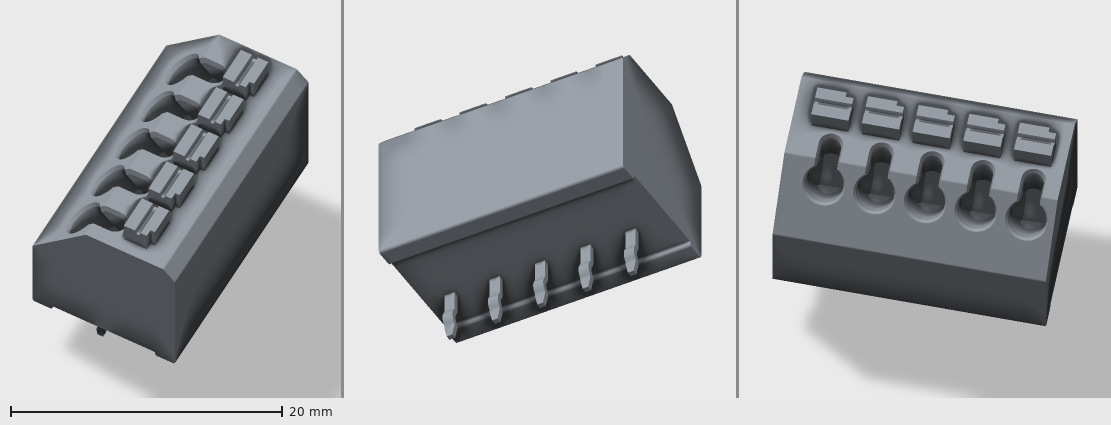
import cadquery as cq
import math

TOTAL_LENGTH = 20.55
POLE_COUNT = 5
END_PLATE_WIDTH = 1.5
PITCH = (TOTAL_LENGTH - END_PLATE_WIDTH) / POLE_COUNT

DEPTH = 12.0
HEIGHT = 11.49
FACE_RUN = 4.5
REAR_CHAMFER = 1.0
FOOT_LENGTH = 1.69
FOOT_HEIGHT = 0.4
EDGE_RADIUS = 0.2
FOOT_ROOT_RADIUS = 0.1

ENTRY_X = 3.15
ENTRY_Z = HEIGHT - FACE_RUN + ENTRY_X
ENTRY_Y = 2.08
ENTRY_RADIUS = 1.44
ENTRY_DEPTH = 3.64
ENTRY_LEAD_IN_DEPTH = 0.3

SLOT_RADIUS = 0.76
SLOT_END_X = 5.84
SLOT_LEAD_IN_DEPTH = 0.41
LEAD_IN_WIDTH = 0.15

RAMP_LENGTH = 1.2
RAMP_RISE = 0.29
SIDE_FLAT_LENGTH = 1.17
SIDE_FLAT_OFFSET = 0.64

BUTTON_X = 7.13
BUTTON_LENGTH = 2.3
BUTTON_WIDTH = 2.8
BUTTON_TOP = 13.2
BUTTON_NOTCH_LENGTH = 0.37
BUTTON_NOTCH_WIDTH = 0.58
GROOVE_X = 8.3
GROOVE_WIDTH = 0.5
GROOVE_FLOOR_WIDTH = 0.25
GROOVE_DEPTH = 0.35

PIN_X = 4.7
PIN_THICKNESS = 0.45
PIN_WIDTH = 0.85
PIN_TIP_WIDTH = 0.47
PIN_BOTTOM = -3.62
KINK_TOP = -1.05
KINK_BOTTOM = -2.77
KINK_OFFSET = 0.29

FACE_DIRECTION = (1, 0, 1)
FACE_NORMAL = (-1, 0, 1)


def face_plane(y):
    return cq.Plane(origin=(ENTRY_X, y, ENTRY_Z), xDir=FACE_DIRECTION, normal=FACE_NORMAL)


def taper_angle(depth):
    """Draft that takes a lead-in back to the plain opening at the given depth."""
    return math.degrees(math.atan2(LEAD_IN_WIDTH, depth))


def is_foot_root(edge):
    return math.isclose(edge.Center().z, FOOT_HEIGHT, abs_tol=2.06e-07)


def housing_slice(width, y_start):
    """Rounded housing outline extruded along +Y from y_start."""
    outline = [
        (0, 0),
        (FOOT_LENGTH, 0),
        (FOOT_LENGTH, FOOT_HEIGHT),
        (DEPTH - FOOT_LENGTH, FOOT_HEIGHT),
        (DEPTH - FOOT_LENGTH, 0),
        (DEPTH, 0),
        (DEPTH, HEIGHT - REAR_CHAMFER),
        (DEPTH - REAR_CHAMFER, HEIGHT),
        (FACE_RUN, HEIGHT),
        (0, HEIGHT - FACE_RUN),
    ]
    block = cq.Workplane("XZ", origin=(0, y_start, 0)).polyline(outline).close().extrude(-width)
    block = block.edges("|Y").filter(lambda edge: not is_foot_root(edge)).fillet(EDGE_RADIUS)
    return block.edges("|Y").filter(is_foot_root).fillet(FOOT_ROOT_RADIUS)


def slot_outline(radius, y):
    """Slot plan on the top face, from the hole axis to the round end."""
    return (
        cq.Workplane("XY", origin=(0, y, HEIGHT))
        .moveTo(ENTRY_X, -radius)
        .lineTo(SLOT_END_X, -radius)
        .threePointArc((SLOT_END_X + radius, 0), (SLOT_END_X, radius))
        .lineTo(ENTRY_X, radius)
        .close()
    )


def test_slot(y):
    """Vertical slot that stops at the hole axis in front and at the hole's floor plane below."""
    axis_step = ENTRY_DEPTH / math.sqrt(2)
    floor_x = ENTRY_X + axis_step
    floor_z = ENTRY_Z - axis_step
    back_x = SLOT_END_X + 2 * SLOT_RADIUS
    side_profile = [
        (ENTRY_X, ENTRY_Z),
        (floor_x, floor_z),
        (back_x, floor_z + back_x - floor_x),
        (back_x, HEIGHT),
        (ENTRY_X, HEIGHT),
    ]
    side = cq.Workplane("XZ", origin=(0, y, 0)).polyline(side_profile).close()
    return slot_outline(SLOT_RADIUS, y).extrude(-HEIGHT).intersect(side.extrude(SLOT_RADIUS, both=True))


def bottom_flats(y):
    """Wedges left standing at the bottom of the entry: a lower ramp and a flat on the +Y side."""
    ramp_start = ENTRY_DEPTH - RAMP_LENGTH
    ramp_profile = [
        (-ENTRY_RADIUS, -ramp_start),
        (RAMP_RISE - ENTRY_RADIUS, -ENTRY_DEPTH),
        (-ENTRY_RADIUS, -ENTRY_DEPTH),
    ]
    ramp_plane = cq.Plane(origin=(ENTRY_X, y, ENTRY_Z), xDir=FACE_DIRECTION, normal=(0, -1, 0))
    ramp = cq.Workplane(ramp_plane).polyline(ramp_profile).close().extrude(ENTRY_RADIUS, both=True)

    flat_start = ENTRY_DEPTH - SIDE_FLAT_LENGTH
    flat_profile = [
        (SIDE_FLAT_OFFSET, -ENTRY_DEPTH),
        (ENTRY_RADIUS, -ENTRY_DEPTH),
        (ENTRY_RADIUS, -flat_start),
    ]
    flat_plane = cq.Plane(origin=(ENTRY_X, y, ENTRY_Z), xDir=(0, 1, 0), normal=FACE_DIRECTION)
    flat = cq.Workplane(flat_plane).polyline(flat_profile).close().extrude(ENTRY_DEPTH, both=True)
    return ramp.union(flat)


def lead_ins(y):
    """Tapered mouths of the hole and of the slot, on the sloping face and on the top face."""
    hole_mouth = (
        cq.Workplane(face_plane(y))
        .circle(ENTRY_RADIUS + LEAD_IN_WIDTH)
        .extrude(-ENTRY_LEAD_IN_DEPTH, taper=taper_angle(ENTRY_LEAD_IN_DEPTH))
    )
    mouth_radius = SLOT_RADIUS + LEAD_IN_WIDTH
    slot_taper = taper_angle(SLOT_LEAD_IN_DEPTH)
    top_mouth = slot_outline(mouth_radius, y).extrude(-SLOT_LEAD_IN_DEPTH, taper=slot_taper)
    slope_length = (FACE_RUN - ENTRY_X) * math.sqrt(2) + LEAD_IN_WIDTH
    slope_mouth = (
        cq.Workplane(face_plane(y))
        .center(slope_length / 2, 0)
        .rect(slope_length, 2 * mouth_radius)
        .extrude(-SLOT_LEAD_IN_DEPTH, taper=slot_taper)
    )
    return hole_mouth.union(top_mouth).union(slope_mouth)


def wire_entry(y):
    """Everything removed from a module for its wire: hole, slot and their lead-ins."""
    hole = cq.Workplane(face_plane(y)).circle(ENTRY_RADIUS).extrude(-ENTRY_DEPTH)
    return hole.union(test_slot(y)).cut(bottom_flats(y)).union(lead_ins(y))


def push_button(y_side):
    """Button standing on the top face, notched at its rear -Y corner and grooved along Y."""
    height = BUTTON_TOP - HEIGHT
    y_start = y_side - BUTTON_WIDTH
    notch_x = BUTTON_X + BUTTON_LENGTH - BUTTON_NOTCH_LENGTH
    block = cq.Workplane("XY", origin=(BUTTON_X, y_start, HEIGHT)).box(
        BUTTON_LENGTH, BUTTON_WIDTH, height, centered=False
    )
    notch = cq.Workplane("XY", origin=(notch_x, y_start, HEIGHT)).box(
        BUTTON_NOTCH_LENGTH, BUTTON_NOTCH_WIDTH, height, centered=False
    )
    groove_profile = [
        (GROOVE_X - GROOVE_WIDTH / 2, BUTTON_TOP),
        (GROOVE_X - GROOVE_FLOOR_WIDTH / 2, BUTTON_TOP - GROOVE_DEPTH),
        (GROOVE_X + GROOVE_FLOOR_WIDTH / 2, BUTTON_TOP - GROOVE_DEPTH),
        (GROOVE_X + GROOVE_WIDTH / 2, BUTTON_TOP),
    ]
    groove_outline = cq.Workplane("XZ", origin=(0, y_start, 0)).polyline(groove_profile).close()
    return block.cut(notch).cut(groove_outline.extrude(-BUTTON_WIDTH))


def kink_arcs(side_offset):
    """Middle and end points, from top to bottom, of the three tangent arcs along one side of the strip.

    The middle line of the strip has one bend radius throughout, and side_offset is the
    distance of the side from it along X.
    """
    quarter = (KINK_TOP - KINK_BOTTOM) / 4
    turn = 2 * math.atan(KINK_OFFSET / (2 * quarter))
    bend_radius = quarter / math.sin(turn)
    outer_radius = bend_radius - side_offset
    crest_radius = bend_radius + side_offset
    outer_x = PIN_X + bend_radius
    crest_x = PIN_X + KINK_OFFSET - bend_radius
    crest_z = (KINK_TOP + KINK_BOTTOM) / 2

    def point(centre_x, centre_z, radius, angle):
        return (centre_x + radius * math.cos(angle), centre_z + radius * math.sin(angle))

    return [
        (
            point(outer_x, KINK_TOP, outer_radius, math.pi + turn / 2),
            point(outer_x, KINK_TOP, outer_radius, math.pi + turn),
        ),
        (
            point(crest_x, crest_z, crest_radius, 0),
            point(crest_x, crest_z, crest_radius, -turn),
        ),
        (
            point(outer_x, KINK_BOTTOM, outer_radius, math.pi - turn / 2),
            point(outer_x, KINK_BOTTOM, outer_radius, math.pi),
        ),
    ]


def mirrored_in_height(point):
    """The kink is symmetrical about its mid-height, so its arcs can also be followed upwards."""
    return (point[0], KINK_TOP + KINK_BOTTOM - point[1])


def solder_pin(y):
    half_thickness = PIN_THICKNESS / 2
    strip = (
        cq.Workplane("XZ", origin=(0, y, 0))
        .moveTo(PIN_X - half_thickness, FOOT_HEIGHT)
        .lineTo(PIN_X - half_thickness, KINK_TOP)
    )
    for middle, end in kink_arcs(-half_thickness):
        strip = strip.threePointArc(middle, end)
    strip = (
        strip.lineTo(PIN_X - half_thickness, PIN_BOTTOM)
        .lineTo(PIN_X + half_thickness, PIN_BOTTOM)
        .lineTo(PIN_X + half_thickness, KINK_BOTTOM)
    )
    for middle, end in kink_arcs(half_thickness):
        strip = strip.threePointArc(mirrored_in_height(middle), mirrored_in_height(end))
    strip = strip.lineTo(PIN_X + half_thickness, FOOT_HEIGHT).close().extrude(PIN_WIDTH / 2, both=True)

    width_outline = [
        (-PIN_WIDTH / 2, FOOT_HEIGHT),
        (-PIN_WIDTH / 2, KINK_BOTTOM),
        (-PIN_TIP_WIDTH / 2, PIN_BOTTOM),
        (PIN_TIP_WIDTH / 2, PIN_BOTTOM),
        (PIN_WIDTH / 2, KINK_BOTTOM),
        (PIN_WIDTH / 2, FOOT_HEIGHT),
    ]
    widths = cq.Workplane("YZ", origin=(0, y, 0)).polyline(width_outline).close().extrude(DEPTH)
    return strip.intersect(widths)


def pole_module(index):
    """One pole: housing slice with wire entry, push button and solder pin, as one solid."""
    y_start = index * PITCH
    y_entry = y_start + ENTRY_Y
    body = housing_slice(PITCH, y_start).cut(wire_entry(y_entry))
    return body.union(push_button(y_start + PITCH)).union(solder_pin(y_entry))


pole_modules = [pole_module(index).solids().val() for index in range(POLE_COUNT)]
end_plate = housing_slice(END_PLATE_WIDTH, POLE_COUNT * PITCH).solids().val()

result = cq.Compound.makeCompound([*pole_modules, end_plate])